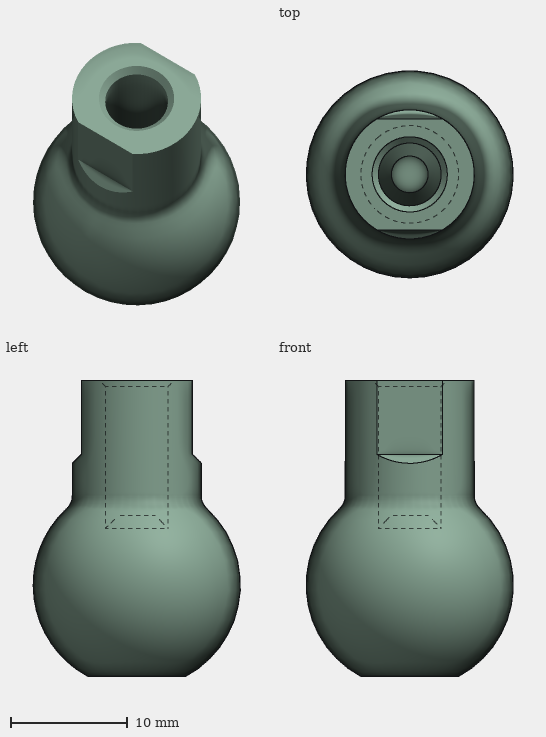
import cadquery as cq
import math

total_height = 25.4
ball_radius = 8.9
base_radius = 4.2
stem_radius = 5.54
neck_fillet_radius = 1.52
flat_spacing = 9.52
flat_length = 6.35
hole_radius = 2.7
hole_mouth_radius = 3.23
cone_top_radius = 1.57
hole_depth = 12.7

ball_center_z = math.sqrt(ball_radius**2 - base_radius**2)

fillet_center_x = stem_radius + neck_fillet_radius
center_distance = ball_radius + neck_fillet_radius
fillet_rise = math.sqrt(center_distance**2 - fillet_center_x**2)
fillet_center_z = ball_center_z + fillet_rise
ball_share = ball_radius / center_distance
fillet_foot = (fillet_center_x * ball_share, ball_center_z + fillet_rise * ball_share)
foot_angle = math.atan2(fillet_rise, fillet_center_x)
fillet_middle = (
    fillet_center_x - neck_fillet_radius * math.cos(foot_angle / 2),
    fillet_center_z - neck_fillet_radius * math.sin(foot_angle / 2),
)


def make_body():
    """Ball with a flat base, filleted into a round stem."""
    return (
        cq.Workplane("YZ")
        .lineTo(base_radius, 0)
        .threePointArc((ball_radius, ball_center_z), fillet_foot)
        .threePointArc(fillet_middle, (stem_radius, fillet_center_z))
        .lineTo(stem_radius, total_height)
        .lineTo(0, total_height)
        .close()
        .revolve(360, (0, 0), (0, 1))
    )


def make_hole():
    """Blind hole with a 45 degree mouth chamfer and a 45 degree truncated cone rising from its floor."""
    mouth_depth = hole_mouth_radius - hole_radius
    floor_z = total_height - hole_depth
    cone_height = hole_radius - cone_top_radius
    return (
        cq.Workplane("XZ")
        .moveTo(0, total_height)
        .lineTo(hole_mouth_radius, total_height)
        .lineTo(hole_radius, total_height - mouth_depth)
        .lineTo(hole_radius, floor_z)
        .lineTo(cone_top_radius, floor_z + cone_height)
        .lineTo(0, floor_z + cone_height)
        .close()
        .revolve(360, (0, 0), (0, 1))
    )


def make_flat_cut(side):
    """Wrench flat on the -Y (side = -1) or +Y (side = 1) face, with a 45 degree runout."""
    flat_y = flat_spacing / 2
    flat_end_z = total_height - flat_length
    runout = stem_radius - flat_y
    return (
        cq.Workplane("YZ")
        .moveTo(side * flat_y, total_height)
        .lineTo(side * flat_y, flat_end_z)
        .lineTo(side * stem_radius, flat_end_z - runout)
        .lineTo(side * stem_radius, total_height)
        .close()
        .extrude(stem_radius, both=True)
    )


result = make_body().cut(make_hole())
for side in (-1, 1):
    result = result.cut(make_flat_cut(side))